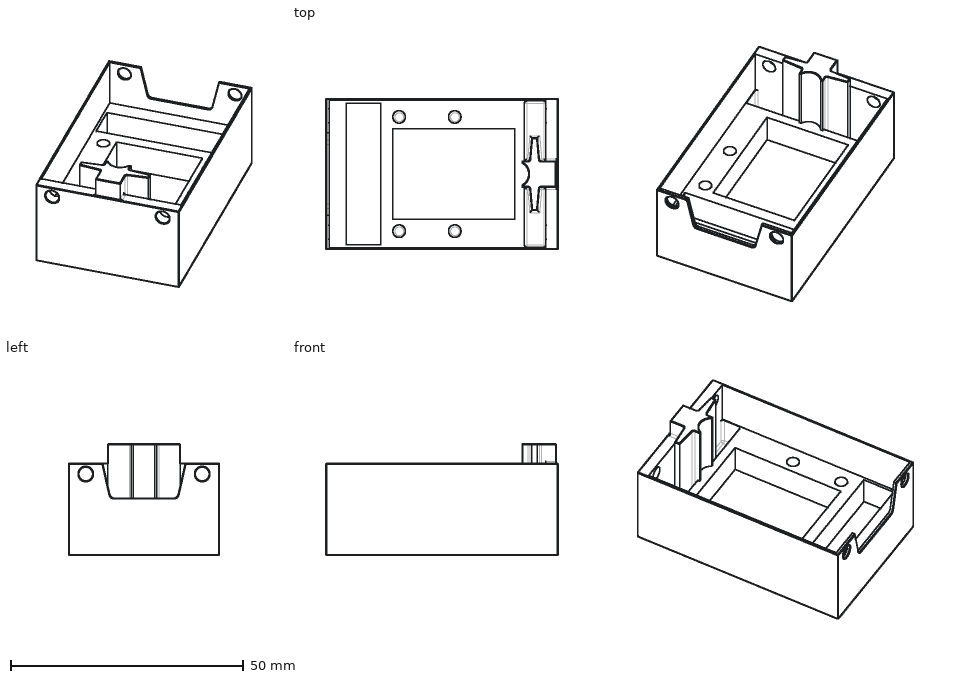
import cadquery as cq
LENGTH = 50.0
WIDTH = 32.5
BOX_HEIGHT = 19.8
EDGE_BREAK = 0.15
SIDE_WALL = 0.4
FRONT_WALL = 0.7
END_WALL = 2.6
FLOOR_Z = 9.25
POCKET_FLOOR_Z = 2.6

SLOT_START = 4.4
SLOT_LENGTH = 7.4
SLOT_WIDTH = 30.5
BAY_START = 14.4
BAY_LENGTH = 26.3
BAY_WIDTH = 19.5

SCREW_DIAMETER = 2.7
SCREW_BOTTOM_FILLET = 0.4
SCREW_X = (15.75, 27.75)
SCREW_HALF_SPACING = 12.3

CORD_DIAMETER = 3.0
CORD_HALF_SPACING = 12.55
CORD_Z = 17.5

NOTCH_BOTTOM_Z = 12.3
NOTCH_TOP_HALF_WIDTH = 8.9
NOTCH_BOTTOM_HALF_WIDTH = 7.2
NOTCH_FILLET = 1.0

TRENCH_START = 42.75
TRENCH_WIDTH = 31.5
TRENCH_FILLET = 0.5

POST_TOP_Z = 24.0
POST_START = 42.3
POST_END = 49.6
POST_HALF_WIDTH = 2.8
ARM_CENTER_X = 44.95
ARM_ROOT_HALF_THICKNESS = 1.05
ARM_TIP_HALF_THICKNESS = 0.6
ARM_TIP_Y = 7.8
ARM_ROOT_FILLET = 0.45
SELECTION_MARGIN = 0.5
FOOT_FILLET = 0.45
GROOVE_RADIUS = 2.7
GROOVE_DEPTH = 1.4

TRENCH_END = LENGTH - END_WALL
INNER_WIDTH = WIDTH - 2 * SIDE_WALL


def block(x_start, x_end, width, z_bottom, z_top):
    """Box centered on Y = 0 between the given X and Z limits."""
    return (
        cq.Workplane("XY", origin=(x_start, 0, z_bottom))
        .box(x_end - x_start, width, z_top - z_bottom, centered=(False, True, False))
    )


def make_box():
    """Open box with a raised floor, two floor pockets and broken outer edges."""
    box = block(0, LENGTH, WIDTH, 0, BOX_HEIGHT)
    cavity = block(FRONT_WALL, TRENCH_END, INNER_WIDTH, FLOOR_Z, BOX_HEIGHT)
    opened = box.cut(cavity).cut(make_notch()).cut(make_cord_holes())
    outer_faces = opened.faces("<X or >X or <Y or >Y or <Z")
    shell = outer_faces.edges().chamfer(EDGE_BREAK)
    slot = block(SLOT_START, SLOT_START + SLOT_LENGTH, SLOT_WIDTH, POCKET_FLOOR_Z, FLOOR_Z)
    bay = block(BAY_START, BAY_START + BAY_LENGTH, BAY_WIDTH, POCKET_FLOOR_Z, FLOOR_Z)
    return shell.cut(slot).cut(bay)


def make_trench():
    """Two pockets, one on each side of the post stem and wrapped around the arm."""
    trench = block(TRENCH_START, TRENCH_END, TRENCH_WIDTH, POCKET_FLOOR_Z, FLOOR_Z)
    outer_corners = trench.edges("|Z").fillet(TRENCH_FILLET)
    pockets = outer_corners.cut(make_post_profile(FLOOR_Z))
    return pockets.edges("<Z").fillet(TRENCH_FILLET)


def make_screw_holes():
    points = [(x, side * SCREW_HALF_SPACING) for x in SCREW_X for side in (-1, 1)]
    return (
        cq.Workplane("XY", origin=(0, 0, POCKET_FLOOR_Z))
        .pushPoints(points)
        .circle(SCREW_DIAMETER / 2)
        .extrude(FLOOR_Z - POCKET_FLOOR_Z)
        .edges("<Z")
        .fillet(SCREW_BOTTOM_FILLET)
    )


def make_cord_holes():
    return (
        cq.Workplane("YZ")
        .pushPoints([(-CORD_HALF_SPACING, CORD_Z), (CORD_HALF_SPACING, CORD_Z)])
        .circle(CORD_DIAMETER / 2)
        .extrude(LENGTH)
    )


def make_notch():
    return (
        cq.Workplane("YZ")
        .moveTo(-NOTCH_TOP_HALF_WIDTH, BOX_HEIGHT)
        .lineTo(-NOTCH_BOTTOM_HALF_WIDTH, NOTCH_BOTTOM_Z)
        .lineTo(NOTCH_BOTTOM_HALF_WIDTH, NOTCH_BOTTOM_Z)
        .lineTo(NOTCH_TOP_HALF_WIDTH, BOX_HEIGHT)
        .close()
        .extrude(FRONT_WALL)
        .edges("<Z and |X")
        .fillet(NOTCH_FILLET)
    )


def make_post_profile(z_top):
    """Stem with two tapered arms, rising from the pocket floor to z_top."""
    arms = cq.Workplane("XY", origin=(ARM_CENTER_X, 0, POCKET_FLOOR_Z))
    stem = block(POST_START, POST_END, 2 * POST_HALF_WIDTH, POCKET_FLOOR_Z, z_top)
    for side in (-1, 1):
        arm = (
            arms.moveTo(-ARM_ROOT_HALF_THICKNESS, side * POST_HALF_WIDTH)
            .lineTo(-ARM_TIP_HALF_THICKNESS, side * ARM_TIP_Y)
            .lineTo(ARM_TIP_HALF_THICKNESS, side * ARM_TIP_Y)
            .lineTo(ARM_ROOT_HALF_THICKNESS, side * POST_HALF_WIDTH)
            .close()
            .extrude(z_top - POCKET_FLOOR_Z)
        )
        stem = stem.union(arm)
    near_x = ARM_ROOT_HALF_THICKNESS + SELECTION_MARGIN
    near_y = POST_HALF_WIDTH + SELECTION_MARGIN
    root_edges = cq.selectors.BoxSelector(
        (ARM_CENTER_X - near_x, -near_y, POCKET_FLOOR_Z),
        (ARM_CENTER_X + near_x, near_y, z_top),
    )
    return stem.edges("|Z").edges(root_edges).fillet(ARM_ROOT_FILLET)


def make_post():
    groove_x = POST_START + GROOVE_DEPTH - GROOVE_RADIUS
    groove = (
        cq.Workplane("XY", origin=(groove_x, 0, FLOOR_Z))
        .circle(GROOVE_RADIUS)
        .extrude(POST_TOP_Z - FLOOR_Z)
    )
    below_floor = block(0, TRENCH_START, WIDTH, 0, FLOOR_Z)
    post = make_post_profile(POST_TOP_Z).cut(groove).cut(below_floor)
    return post.faces(">Z").edges().chamfer(EDGE_BREAK)


def make_post_foot():
    """Concave quarter-round fillets where the stem meets the top of the end wall."""
    inner_y = POST_HALF_WIDTH
    outer_y = POST_HALF_WIDTH + FOOT_FILLET
    strip = (
        cq.Workplane("YZ", origin=(TRENCH_END, 0, BOX_HEIGHT))
        .moveTo(inner_y, 0)
        .lineTo(outer_y, 0)
        .radiusArc((inner_y, FOOT_FILLET), FOOT_FILLET)
        .close()
        .extrude(POST_END - TRENCH_END)
    )
    return strip.union(strip.mirror("XZ"))


result = (
    make_box()
    .cut(make_trench())
    .cut(make_screw_holes())
    .union(make_post())
    .union(make_post_foot())
)